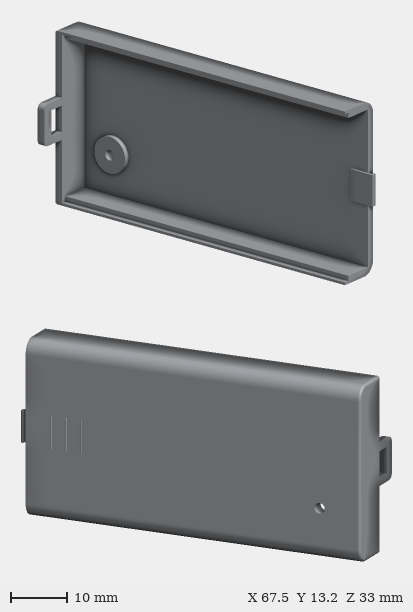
import cadquery as cq

LENGTH = 66.0
HEIGHT = 32.99
DEPTH = 8.0
BACK_EDGE_RADIUS = 2.5
LEFT_EDGE_RADIUS = 0.5

WALL = 1.5
SIDE_WALL = 1.5
RIM_WALL = 0.5
RIM_STEP_DEPTH = 1.0

LOOP_REACH = 5.0
LOOP_HEIGHT = 8.0
LOOP_CORNER_RADIUS = 1.0
WINDOW_REACH = 3.0
WINDOW_HEIGHT = 5.0

HOLE_X = 8.0
HOLE_Z = -7.0
HOLE_DIAMETER = 2.0
BOSS_DIAMETER = 7.0
BOSS_RISE = 1.0

CLIP_TIP_X = 67.49
CLIP_HEIGHT = 6.0
CLIP_THICKNESS = 0.5
CLIP_RAMP_LENGTH = 1.6
CLIP_START_X = 61.85
CLIP_LIP_WIDTH = 0.5
CLIP_LIP_RISE = 0.5
CLIP_TIP_RADIUS = 0.35

RIDGE_COUNT = 3
RIDGE_PITCH = 3.0
FIRST_RIDGE_X = 55.0
RIDGE_RADIUS = 0.15
RIDGE_HEIGHT = 6.2


def block(x_min, x_max, y_min, y_max, height):
    """Box between the given X and Y limits, centred on Z = 0."""
    size_x = x_max - x_min
    size_y = y_max - y_min
    box = cq.Workplane("XY").box(size_x, size_y, height, centered=(False, False, True))
    return box.translate((x_min, y_min, 0))


def hole_axis_cylinder(diameter, y_min, y_max):
    """Cylinder along Y on the screw hole axis."""
    start = cq.Vector(HOLE_X, y_min, HOLE_Z)
    solid = cq.Solid.makeCylinder(diameter / 2, y_max - y_min, start, cq.Vector(0, 1, 0))
    return cq.Workplane(obj=solid)


def make_tray():
    """Round-edged shell with its cavity and the stepped rim."""
    shell = block(0, LENGTH, -DEPTH, 0, HEIGHT)
    shell = shell.edges("|X and >Y").fillet(BACK_EDGE_RADIUS)
    left_outline = shell.faces("<X").edges("not <Y")
    shell = left_outline.fillet(LEFT_EDGE_RADIUS)
    cavity = block(WALL, LENGTH, -DEPTH, -WALL, HEIGHT - 2 * SIDE_WALL)
    rim_step = block(WALL, LENGTH, -DEPTH, -DEPTH + RIM_STEP_DEPTH, HEIGHT - 2 * RIM_WALL)
    return shell.cut(cavity).cut(rim_step)


def make_latch_loop():
    """Plate with a rectangular window, in line with the left wall."""
    tip_y = -DEPTH - LOOP_REACH
    loop = block(0, WALL, tip_y, -DEPTH + WALL, LOOP_HEIGHT)
    loop = loop.edges("|X and <Y").fillet(LOOP_CORNER_RADIUS)
    window = block(0, WALL, -DEPTH - WINDOW_REACH, -DEPTH, WINDOW_HEIGHT)
    return loop.cut(window)


def make_clip():
    """Tongue profile in XY, extruded evenly about the mid-height."""
    floor_y = -WALL
    front_y = floor_y - CLIP_THICKNESS
    lip_y = floor_y + CLIP_LIP_RISE
    lip_x = CLIP_TIP_X - CLIP_LIP_WIDTH
    profile = (
        cq.Workplane("XY")
        .moveTo(CLIP_START_X, floor_y)
        .lineTo(CLIP_START_X + CLIP_RAMP_LENGTH, front_y)
        .lineTo(CLIP_TIP_X, front_y)
        .lineTo(CLIP_TIP_X, lip_y)
        .lineTo(lip_x, lip_y)
        .lineTo(lip_x, floor_y)
        .close()
    )
    clip = profile.extrude(CLIP_HEIGHT / 2, both=True)
    return clip.edges("|Z").edges(">X").edges(">Y").fillet(CLIP_TIP_RADIUS)


def make_ridge(x):
    """Thin upright rod, half sunk into the back face."""
    rod = cq.Workplane("XY").circle(RIDGE_RADIUS).extrude(RIDGE_HEIGHT / 2, both=True)
    return rod.translate((x, 0, 0))


def add_screw_boss(body):
    """Add the floor boss and drill the screw hole through it and the back wall."""
    boss_y = -WALL - BOSS_RISE
    body = body.union(hole_axis_cylinder(BOSS_DIAMETER, boss_y, -WALL))
    return body.cut(hole_axis_cylinder(HOLE_DIAMETER, boss_y, 0))


result = make_tray().union(make_latch_loop()).union(make_clip())
for index in range(RIDGE_COUNT):
    result = result.union(make_ridge(FIRST_RIDGE_X + index * RIDGE_PITCH))
result = add_screw_boss(result)